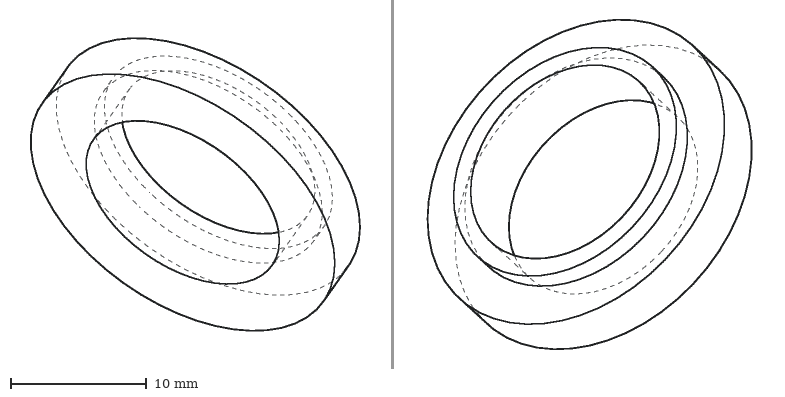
import cadquery as cq

flange_diameter = 25.4
shoulder_diameter = 19.05
bore_diameter = 16.13
total_width = 5.6
flange_width = 4.0
shoulder_width = total_width - flange_width

shoulder = (
    cq.Workplane("XZ", origin=(0, total_width / 2, 0))
    .circle(shoulder_diameter / 2)
    .extrude(shoulder_width)
)
flange = shoulder.faces("<Y").workplane().circle(flange_diameter / 2).extrude(flange_width)

result = flange.faces("<Y").workplane().circle(bore_diameter / 2).cutThruAll()